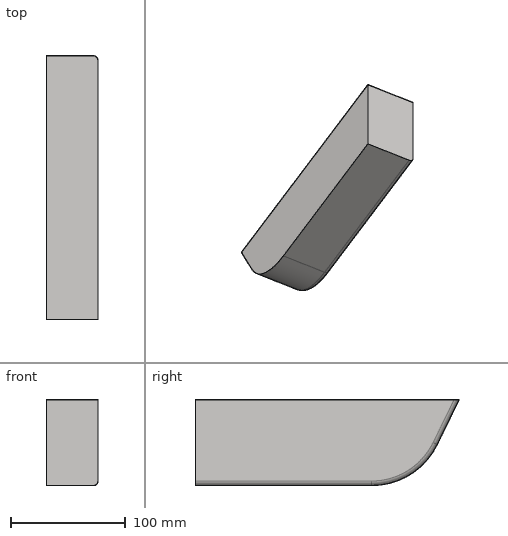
import cadquery as cq
import math

width = 45.0
length = 230.0
height = 75.0

nose_angle = 64.0
nose_radius = 63.8

edge_radius = 4.0


def side_profile():
    """Closed outline in the YZ plane, with the nose tip at the top of the +Y end."""
    slope = math.radians(nose_angle)
    corner_y = length - height / math.tan(slope)
    tangent_length = nose_radius * math.tan(slope / 2)
    arc_start_y = corner_y - tangent_length

    def arc_point(angle):
        """Point on the nose arc, at an angle swept from its start on the bottom."""
        return (
            arc_start_y + nose_radius * math.sin(angle),
            nose_radius * (1 - math.cos(angle)),
        )

    return (
        cq.Workplane("YZ")
        .lineTo(arc_start_y, 0)
        .threePointArc(arc_point(slope / 2), arc_point(slope))
        .lineTo(length, height)
        .lineTo(0, height)
        .close()
    )


def round_lower_edge(block):
    """Round the bottom, arc and nose edges of the +X face; its top and -Y edges stay sharp."""
    return block.faces(">X").edges("not(>Z or <Y)").fillet(edge_radius)


result = round_lower_edge(side_profile().extrude(width))